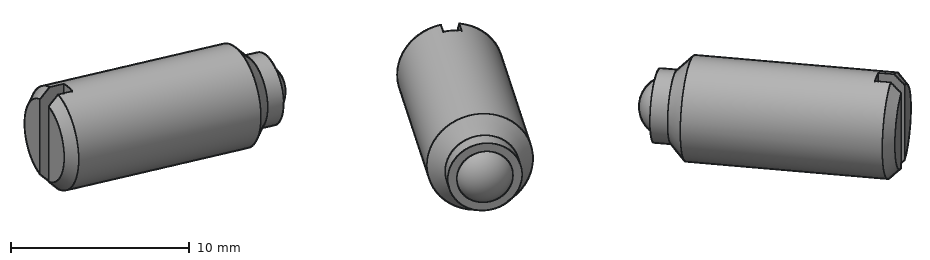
import cadquery as cq

total_length = 15.0
body_radius = 3.0
end_chamfer = 0.6
neck_radius = 2.1
neck_length = 1.0
ball_radius = 1.75
ball_protrusion = 1.0
slot_width = 1.04
slot_depth = 1.5

neck_end = total_length - ball_protrusion
neck_start = neck_end - neck_length
shoulder_start = neck_start - (body_radius - neck_radius)
ball_center = total_length - ball_radius


def make_body():
    """Turned body with chamfered end, conical shoulder and neck."""
    return (
        cq.Workplane("XY")
        .lineTo(body_radius - end_chamfer, 0)
        .lineTo(body_radius, end_chamfer)
        .lineTo(body_radius, shoulder_start)
        .lineTo(neck_radius, neck_start)
        .lineTo(neck_radius, neck_end)
        .lineTo(0, neck_end)
        .close()
        .revolve(360, (0, 0, 0), (0, 1, 0))
    )


def make_ball():
    """Ball seated in the neck, with only its tip exposed."""
    return cq.Workplane("XY").sphere(ball_radius).translate((0, ball_center, 0))


def make_slot():
    """Screwdriver slot across the full diameter, running along Z."""
    return cq.Workplane("XY").box(
        slot_width, slot_depth, 2 * body_radius, centered=(True, False, True)
    )


result = make_body().union(make_ball()).cut(make_slot())